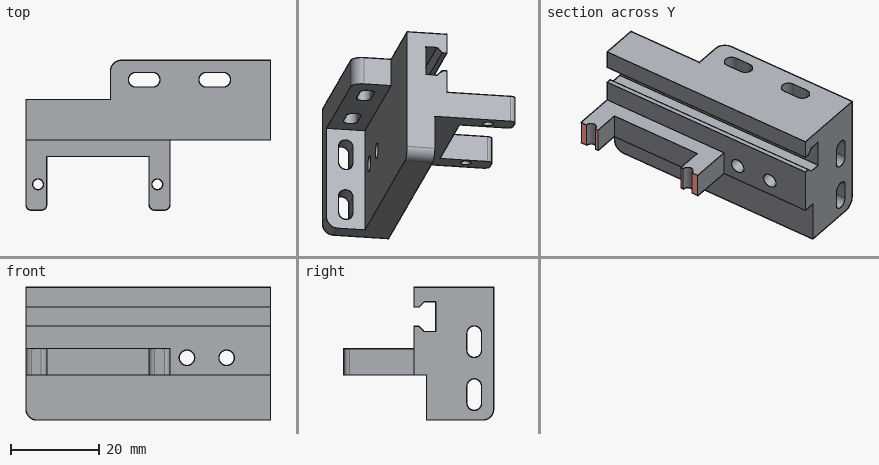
import cadquery as cq

length = 55.45
height = 30.1
wall_depth = 9.2
lower_wall_depth = 6.4
corner_radius = 2.55

fork_bottom = 10.2
fork_thickness = 6.0
fork_width = 32.65
fork_reach = 15.9
fork_bar_depth = 3.75
fork_arm_width = 4.75
fork_tip_radius = 1.3
fork_hole_diameter = 2.4
fork_hole_reach = 10.05
fork_hole_first_x = 2.8
fork_hole_spacing = 27.0

groove_center_z = height - 6.65
groove_height = 6.65
groove_mouth = 4.25
groove_depth = 4.9
groove_lip = 1.1
groove_bevel = (groove_height - groove_mouth) / 2

wall_hole_diameter = 3.45
wall_hole_z = 14.15
wall_hole_first_x = 36.5
wall_hole_spacing = 9.0

flange_depth = 8.9
shelf_left = 19.15
shelf_thickness = 6.3
plate_thickness = 5.0
back = wall_depth + flange_depth

slot_length = 7.1
slot_width = 3.25
slot_y = wall_depth + flange_depth / 2
shelf_slot_spacing = 16.0
shelf_slot_middle = (shelf_left + length - plate_thickness) / 2
plate_slot_spacing = 12.0
plate_slot_drop = 0.1
plate_slot_middle = (height - shelf_thickness) / 2 - plate_slot_drop


def box(x_range, y_range, z_range):
    """Box spanning the given (low, high) limits along each axis."""
    spans = [high - low for low, high in (x_range, y_range, z_range)]
    corner = (x_range[0], y_range[0], z_range[0])
    return cq.Workplane("XY").box(*spans, centered=False).translate(corner)


def make_wall():
    step_y = wall_depth - lower_wall_depth
    wall = box((0, length), (0, wall_depth), (0, height))
    wall = wall.cut(box((0, length), (0, step_y), (0, fork_bottom)))
    return wall.edges("|Y and <X and <Z").fillet(corner_radius)


def make_groove():
    half_mouth = groove_mouth / 2
    half_height = groove_height / 2
    bevel_end = groove_lip + groove_bevel
    return (
        cq.Workplane("YZ", origin=(0, 0, groove_center_z))
        .moveTo(0, -half_mouth)
        .lineTo(groove_lip, -half_mouth)
        .lineTo(bevel_end, -half_height)
        .lineTo(groove_depth, -half_height)
        .lineTo(groove_depth, half_height)
        .lineTo(bevel_end, half_height)
        .lineTo(groove_lip, half_mouth)
        .lineTo(0, half_mouth)
        .close()
        .extrude(length)
    )


def make_fork():
    z_range = (fork_bottom, fork_bottom + fork_thickness)
    fork = box((0, fork_width), (-fork_bar_depth, wall_depth), z_range)
    for arm_left in (0, fork_width - fork_arm_width):
        arm = box((arm_left, arm_left + fork_arm_width), (-fork_reach, 0), z_range)
        fork = fork.union(arm.edges("|Z and <Y").fillet(fork_tip_radius))
    hole_centers = [(fork_hole_first_x + i * fork_hole_spacing, -fork_hole_reach) for i in range(2)]
    holes = (
        cq.Workplane("XY", origin=(0, 0, fork_bottom))
        .pushPoints(hole_centers)
        .circle(fork_hole_diameter / 2)
        .extrude(fork_thickness)
    )
    return fork.cut(holes)


def make_wall_holes():
    centers = [(wall_hole_first_x + i * wall_hole_spacing, wall_hole_z) for i in range(2)]
    return (
        cq.Workplane("XZ")
        .pushPoints(centers)
        .circle(wall_hole_diameter / 2)
        .extrude(-wall_depth)
    )


def make_shelf():
    shelf_bottom = height - shelf_thickness
    shelf = box((shelf_left, length), (wall_depth, back), (shelf_bottom, height))
    shelf = shelf.edges("|Z and <X and >Y").fillet(corner_radius)
    offset = shelf_slot_spacing / 2
    slots = (
        cq.Workplane("XY", origin=(shelf_slot_middle, slot_y, shelf_bottom))
        .pushPoints([(-offset, 0), (offset, 0)])
        .slot2D(slot_length, slot_width)
        .extrude(shelf_thickness)
    )
    return shelf.cut(slots)


def make_end_plate():
    plate_left = length - plate_thickness
    plate = box((plate_left, length), (wall_depth, back), (0, height))
    plate = plate.edges("|X and >Y and <Z").fillet(corner_radius)
    offset = plate_slot_spacing / 2
    slots = (
        cq.Workplane("YZ", origin=(plate_left, slot_y, plate_slot_middle))
        .pushPoints([(0, -offset), (0, offset)])
        .slot2D(slot_length, slot_width, 90)
        .extrude(plate_thickness)
    )
    return plate.cut(slots)


wall = make_wall().cut(make_groove()).cut(make_wall_holes())
result = wall.union(make_fork()).union(make_shelf()).union(make_end_plate())